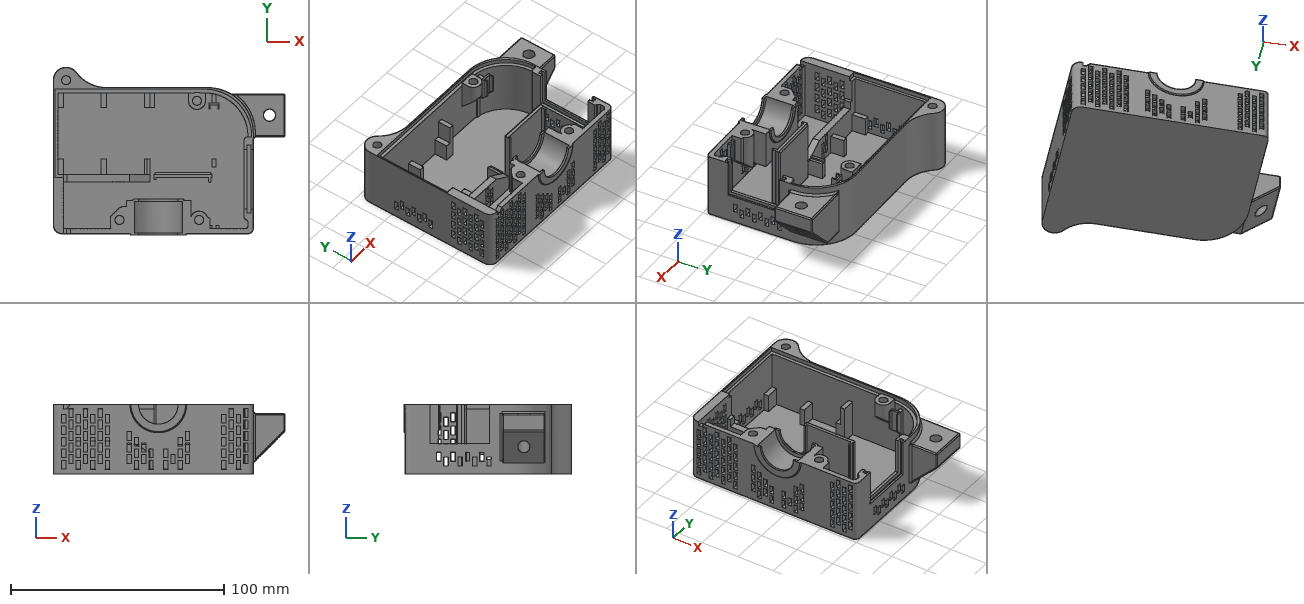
import cadquery as cq
import math

height = 32.7
width = 93.7
depth = 68.56
floor = 2.2
front_wall = 2.4
side_wall = 2.2
back_wall = 2.5
back_face_y = depth - back_wall
left_corner_radius = 4.1
right_corner_radius = 2.5

corner_radius = 21.4
corner_x = width - corner_radius
corner_y = depth - corner_radius
inner_corner_offset = 22.8
arc_x = width - inner_corner_offset
arc_y = depth - inner_corner_offset

ear_radius = 6.0
ear_x = ear_radius
ear_y = 71.99
ear_blend_radius = 17.6
screw_radius = 2.1
screw_depth = 8.0

ledge_depth = 2.1
ledge_z = height - ledge_depth
lip_width = 0.75
ledge_start_y = 26.5

thick_left = 4.7
thick_left_end_y = 27.9
thick_right_x = 89.3
thick_right_start_y = 6.7
thick_right_end_y = 45.3
pocket_radius = 1.6
pocket_end_x = 91.3
block_bevel = 1.0

panel_y0, panel_y1 = 11.6, 39.4
panel_sill = 14.3
groove_x0, groove_x1 = 90.75, 92.65
groove_y0, groove_y1 = 9.7, 41.6
groove_bottom = 12.3

collar_x = 49.2
collar_radius = 13.3
collar_rear_radius = 11.7
collar_chamfer = 0.5
collar_front_y = -0.6
collar_rear_y = 16.25
collar_lip = 1.04
collar_bore_radius = 11.27
collar_mouth_radius = 9.25
collar_block_x0, collar_block_x1 = 34.2, 64.5
collar_block_y = 15.5
collar_block_bottom = 14.0
front_screw_y = 6.5
left_screw_x = 31.0
right_screw_x = 68.3
boss_radius = 4.1

vent_width = 2.0
vent_height = 4.1
front_vent_x, front_vent_pitch = 4.9, 3.41
front_vent_z, front_row_pitch = 4.4, 5.4
full_column_rows = 5
side_vent_y, side_vent_pitch = 5.6, 3.37
side_vent_z, side_row_pitch = 5.95, 6.2
low_vent_height = 4.6
low_vent_z, low_vent_rise = 6.9, 2.3
vent_cut = 0.2
blind_vent_depth = 1.5

rib_z = 11.4
tall_rib_z = 21.2
rib_width = 2.55
divider_y0, divider_y1 = 24.4, 27.9
rib_front_y = 35.05
rib_back_y = 59.2
divider_end = 45.4
divider_ramp_start = 35.6
divider_z = 15.6
divider_low_z = 9.9


def box(x0, x1, y0, y1, z0, z1):
    return cq.Workplane("XY").box(x1 - x0, y1 - y0, z1 - z0, centered=False).translate((x0, y0, z0))


def cylinder(x, y, radius, z0, z1):
    return cq.Workplane("XY").center(x, y).circle(radius).extrude(z1 - z0).translate((0, 0, z0))


def cylinder_along_y(radius, y0, y1):
    disc = cq.Workplane("XZ", origin=(collar_x, y0, height)).circle(radius)
    return disc.extrude(y0 - y1)


def arc_middle(x, y, radius):
    """Middle of the back right quarter of a circle."""
    return x + radius * math.sqrt(0.5), y + radius * math.sqrt(0.5)


def outer_body():
    blend_y = depth + ear_blend_radius
    centre_distance = ear_radius + ear_blend_radius
    blend_x = ear_x + math.sqrt(centre_distance**2 - (blend_y - ear_y) ** 2)
    along = ear_radius / centre_distance
    joint = (ear_x + (blend_x - ear_x) * along, ear_y + (blend_y - ear_y) * along)
    joint_angle = math.atan2(joint[1] - blend_y, joint[0] - blend_x) + 2 * math.pi
    middle_angle = (joint_angle + 1.5 * math.pi) / 2
    middle = (
        blend_x + ear_blend_radius * math.cos(middle_angle),
        blend_y + ear_blend_radius * math.sin(middle_angle),
    )
    body = (
        cq.Workplane("XY")
        .lineTo(0, ear_y)
        .threePointArc((ear_x, ear_y + ear_radius), joint)
        .threePointArc(middle, (blend_x, depth))
        .lineTo(corner_x, depth)
        .threePointArc(arc_middle(corner_x, corner_y, corner_radius), (width, corner_y))
        .lineTo(width, 0)
        .close()
        .extrude(height)
    )
    body = body.edges(cq.selectors.NearestToPointSelector((0, 0, height / 2))).fillet(left_corner_radius)
    return body.edges(cq.selectors.NearestToPointSelector((width, 0, height / 2))).fillet(right_corner_radius)


def rounded_region(x0, y0, wall, z0):
    """Region inside the walls from (x0, y0), concentric with the large corner, up to the rim."""
    radius = inner_corner_offset - wall
    return (
        cq.Workplane("XY", origin=(0, 0, z0))
        .moveTo(x0, y0)
        .lineTo(x0, arc_y + radius)
        .lineTo(arc_x, arc_y + radius)
        .threePointArc(arc_middle(arc_x, arc_y, radius), (arc_x + radius, arc_y))
        .lineTo(arc_x + radius, y0)
        .close()
        .extrude(height - z0)
    )


def right_wall_block():
    block = box(thick_right_x, width, thick_right_start_y, thick_right_end_y, floor, height)
    block = block.edges("|Z and <X").chamfer(block_bevel)
    corner = box(thick_right_x, width - right_corner_radius, front_wall, thick_right_start_y, floor, height)
    pocket = box(thick_right_x - 1, pocket_end_x, front_wall, thick_right_start_y, floor, height)
    pocket = pocket.edges("|Z and >X").fillet(pocket_radius)
    return block.union(corner.cut(pocket))


def shell():
    body = outer_body().cut(rounded_region(side_wall, front_wall, back_wall, floor))
    body = body.union(box(side_wall, thick_left, front_wall, thick_left_end_y, floor, height))
    ledge = rounded_region(lip_width, ledge_start_y, lip_width, ledge_z)
    ledge = ledge.cut(box(thick_right_x, width, 0, thick_right_end_y, ledge_z, height))
    body = body.cut(ledge).union(right_wall_block())
    notch_end_x = thick_left + 1.5
    notch_run = 1.9
    notch = (
        cq.Workplane("XZ")
        .moveTo(thick_left, height)
        .lineTo(thick_left, ledge_z)
        .lineTo(notch_end_x, ledge_z)
        .lineTo(notch_end_x + notch_run, height)
        .close()
        .extrude(-front_wall)
    )
    return body.cut(notch)


def panel_seat():
    opening = box(thick_right_x - 1, width + 1, panel_y0, panel_y1, panel_sill, height)
    groove = box(groove_x0, groove_x1, groove_y0, groove_y1, groove_bottom, height)
    return opening.union(groove)


def collar_support():
    """Block under the collar with a screw boss on each side, its ends undercut at 45 degrees."""
    left_edge = left_screw_x - boss_radius
    right_edge = 73.4
    left_side_y = 8.2
    left_slope_y = 12.2
    shoulder_x, shoulder_y = 32.2, 12.7
    right_step_x, right_step_y = 72.0, 8.0
    right_side_y = 7.2
    block = (
        cq.Workplane("XY", origin=(0, 0, collar_block_bottom))
        .moveTo(left_edge, front_wall / 2)
        .lineTo(left_edge, left_side_y)
        .lineTo(left_screw_x, left_slope_y)
        .lineTo(shoulder_x, shoulder_y)
        .lineTo(collar_block_x0, shoulder_y)
        .lineTo(collar_block_x0, collar_block_y)
        .lineTo(collar_block_x1, collar_block_y)
        .lineTo(collar_block_x1, right_step_y)
        .lineTo(right_step_x, right_step_y)
        .lineTo(right_edge, right_side_y)
        .lineTo(right_edge, front_wall / 2)
        .close()
        .extrude(height - collar_block_bottom)
    )
    block = block.union(cylinder(right_screw_x, front_screw_y, boss_radius, collar_block_bottom, height))
    undercut = 5.0
    for edge, direction in ((left_edge, 1), (right_edge, -1)):
        wedge = (
            cq.Workplane("XZ", origin=(0, front_wall, 0))
            .moveTo(edge, collar_block_bottom)
            .lineTo(edge + direction * undercut, collar_block_bottom)
            .lineTo(edge, collar_block_bottom + undercut)
            .close()
            .extrude(-collar_block_y)
        )
        block = block.cut(wedge)
    return block


def collar():
    front = cylinder_along_y(collar_radius, collar_front_y, collar_block_y)
    front = front.faces("<Y").edges().chamfer(collar_chamfer)
    rear = cylinder_along_y(collar_rear_radius + collar_chamfer, front_wall, collar_rear_y)
    rear = rear.faces(">Y").edges().chamfer(collar_chamfer)
    below_rim = box(0, width, collar_front_y, collar_rear_y, 0, height)
    return front.union(rear).intersect(below_rim)


def collar_bore():
    mouth = cylinder_along_y(collar_mouth_radius, collar_front_y - 1, collar_rear_y + 1)
    bore = cylinder_along_y(collar_bore_radius, collar_front_y + collar_lip, collar_rear_y - collar_lip)
    return mouth.union(bore)


def back_undercut(x0, x1, y0, bottom):
    """Wedge that leaves a 45 degree underside rising from the back wall out to y0."""
    reach = back_face_y - y0
    return (
        cq.Workplane("YZ", origin=(x0, 0, 0))
        .moveTo(back_face_y, bottom)
        .lineTo(y0, bottom)
        .lineTo(y0, bottom + reach)
        .close()
        .extrude(x1 - x0)
    )


def back_boss():
    x, y = 67.3, 62.3
    radius = 4.0
    bottom = 17.3
    boss = cylinder(x, y, radius, bottom, height)
    boss = boss.union(box(x - radius, x + radius, y, back_face_y, bottom, height))
    return boss.cut(back_undercut(x - radius, x + radius, y - radius, bottom)), (x, y)


def floor_ribs():
    wall_y = depth - back_wall / 2
    middle_x = 22.4
    block_x = 42.7
    plate_x = 44.0
    tall_rib_width = 2.25
    tall_x = block_x + rib_width
    ribs = box(tall_x, tall_x + tall_rib_width, rib_back_y, wall_y, floor, tall_rib_z)
    for x in (side_wall, middle_x, block_x):
        ribs = ribs.union(box(x, x + rib_width, rib_back_y, wall_y, floor, rib_z))
    for x, x_end in ((side_wall, thick_left), (middle_x, middle_x + rib_width), (block_x, plate_x)):
        ribs = ribs.union(box(x, x_end, divider_y1, rib_front_y, floor, rib_z))
    plate_drop = 0.8
    return ribs.union(box(plate_x, divider_end, divider_y1, rib_front_y, floor, rib_z - plate_drop))


def divider():
    end_post_x = 6.4
    end_post_rise = 4.0
    return (
        cq.Workplane("XZ", origin=(0, divider_y1, 0))
        .moveTo(thick_left, floor)
        .lineTo(thick_left, divider_z + end_post_rise)
        .lineTo(end_post_x, divider_z + end_post_rise)
        .lineTo(end_post_x, divider_z)
        .lineTo(divider_ramp_start, divider_z)
        .lineTo(divider_end, divider_low_z)
        .lineTo(divider_end, floor)
        .close()
        .extrude(divider_y1 - divider_y0)
    )


def partition():
    """Tall thin wall behind the collar, with a short return at each end."""
    y0, y1 = 26.4, 28.65
    x0, x1 = 47.2, 74.3
    bevel = 0.75
    left_return, left_return_y = 0.9, 25.4
    right_return, right_return_y = 1.5, 24.1
    return_bevel = 0.35
    wall = box(x0, x1, y0, y1, floor, height)
    wall = wall.edges("|Z and >Y").chamfer(bevel)
    wall = wall.edges(">Y and >Z").chamfer(bevel)
    left = box(x0, x0 + left_return, left_return_y, y1 - bevel, floor, height)
    right = box(x1 - right_return, x1 - bevel / 2, right_return_y, y1 - bevel, floor, height)
    right = right.edges("|Z and <Y").chamfer(return_bevel)
    return wall.union(left).union(right)


def board_clips():
    """Clip on the back wall, its pads on the front wall and a low support post between them."""
    x0, x1 = 74.4, 76.3
    head_x0, head_x1 = 72.9, 77.7
    head_y0, head_y1 = 58.5, 61.4
    head_side = 0.6
    head_back = 1.0
    head_top = 30.5
    stem_top = 28.6
    bottom = 13.4
    foot_depth = 0.9
    pad_y = 3.9
    post_y = 31.2
    pad_bottom = 19.2
    stem = box(x0, x1, head_y1 - head_back, back_face_y, bottom, stem_top)
    head = box(head_x0, head_x1, head_y0, head_y1, bottom, head_top)
    jaws = box(head_x0 + head_side, head_x1 - head_side, head_y0, head_y1 - head_back, bottom, head_top)
    clips = head.cut(jaws).union(stem).cut(back_undercut(head_x0, head_x1, head_y0, bottom))
    clips = clips.union(box(x0, x1, back_face_y - foot_depth, depth - back_wall / 2, floor, stem_top))
    clips = clips.union(box(x0, x1, post_y, rib_front_y, floor, rib_z))
    for pad_x0, pad_x1 in ((head_x0, x0), (x1, head_x1)):
        clips = clips.union(box(pad_x0, pad_x1, front_wall / 2, pad_y, pad_bottom, head_top))
    return clips


def bracket():
    """Mounting lug on the right side with a sloped underside and a bevelled joint to the wall."""
    y0, y1 = 45.4, 65.6
    end_x = 108.65
    top = 28.4
    end_bottom = 20.2
    hole_x, hole_y, hole_radius = 101.3, 55.6, 2.8
    wall_bottom = end_bottom - (end_x - width)
    edge_bevel = 0.6
    joint = 1.0
    lug = (
        cq.Workplane("XZ", origin=(0, y1, 0))
        .moveTo(corner_x, top)
        .lineTo(end_x, top)
        .lineTo(end_x, end_bottom)
        .lineTo(width, wall_bottom)
        .lineTo(corner_x, wall_bottom)
        .close()
        .extrude(y1 - y0)
    )
    lug = lug.faces("<Y or >Y or >X").edges("not <X").chamfer(edge_bevel)
    bevel = (
        cq.Workplane("XZ")
        .moveTo(0, top)
        .lineTo(corner_radius + joint, top)
        .lineTo(corner_radius, top + joint)
        .lineTo(0, top + joint)
        .close()
        .revolve(360, (0, 0, 0), (0, 1, 0))
        .translate((corner_x, corner_y, 0))
    )
    lug = lug.union(bevel.intersect(box(corner_x, end_x, y0, y1, 0, height)))
    side_bevel = (
        cq.Workplane("XY", origin=(0, 0, wall_bottom + joint))
        .moveTo(width, y0 - joint)
        .lineTo(width + joint, y0)
        .lineTo(width + joint, y0 + joint)
        .lineTo(width, y0 + joint)
        .close()
        .extrude(top - wall_bottom - joint)
    )
    lug = lug.union(side_bevel)
    lug = lug.cut(rounded_region(0, 0, back_wall / 2, 0))
    return lug.cut(cylinder(hole_x, hole_y, hole_radius, 0, height))


def front_slots(columns, y0, y1):
    """Slots along Y from a table of column number: number of rows; odd columns sit half a pitch higher."""
    slots = cq.Workplane("XY")
    for column, rows in columns.items():
        x = front_vent_x + column * front_vent_pitch
        for row in range(rows):
            z = front_vent_z + (row + 0.5 * (column % 2)) * front_row_pitch
            z0 = z - vent_height / 2
            slots.add(box(x - vent_width / 2, x + vent_width / 2, y0, y1, z0, z0 + vent_height))
    return slots


def front_vents():
    columns = {9: 3, 10: 3, 11: 2, 12: 2, 14: 2, 15: 1, 16: 3, 17: 3}
    columns.update({column: full_column_rows for column in (*range(1, 7), *range(22, 26))})
    return front_slots(columns, -vent_cut, front_wall)


def corner_vents():
    """Blind column next to the solid front left corner."""
    return front_slots({0: full_column_rows}, -vent_cut, blind_vent_depth)


def divider_vents():
    return front_slots({7: 2, 8: 2}, divider_y0, divider_y1)


def side_slot(x0, x1, column, z, slot_height):
    y = side_vent_y + column * side_vent_pitch
    return box(x0, x1, y - vent_width / 2, y + vent_width / 2, z - slot_height / 2, z + slot_height / 2)


def side_vents():
    slots = cq.Workplane("XY")
    stagger = 2.15
    for column in range(6):
        slot_end = thick_left if column else blind_vent_depth
        for row in range(4):
            z = side_vent_z + row * side_row_pitch + stagger * (column % 2)
            slots.add(side_slot(-vent_cut, slot_end, column, z, vent_height))
    for column in range(9, 16):
        z = low_vent_z + low_vent_rise * (column % 2 == 0)
        slots.add(side_slot(-vent_cut, side_wall, column, z, low_vent_height))
    for column in range(3, 11):
        z = side_vent_z + stagger * (column % 2)
        slots.add(side_slot(thick_right_x - vent_cut, width + vent_cut, column, z, vent_height))
    return slots


boss, boss_centre = back_boss()
result = shell()
features = (
    collar_support(),
    collar(),
    boss,
    floor_ribs(),
    divider(),
    partition(),
    board_clips(),
    bracket(),
)
for feature in features:
    result = result.union(feature)
result = result.cut(panel_seat()).cut(collar_bore())
for vents in (front_vents(), corner_vents(), divider_vents(), side_vents()):
    result = result.cut(cq.Workplane(cq.Compound.makeCompound(vents.vals())))
for x, y in (
    (ear_x, ear_y),
    (left_screw_x, front_screw_y),
    (right_screw_x, front_screw_y),
    boss_centre,
):
    result = result.cut(cylinder(x, y, screw_radius, height - screw_depth, height))